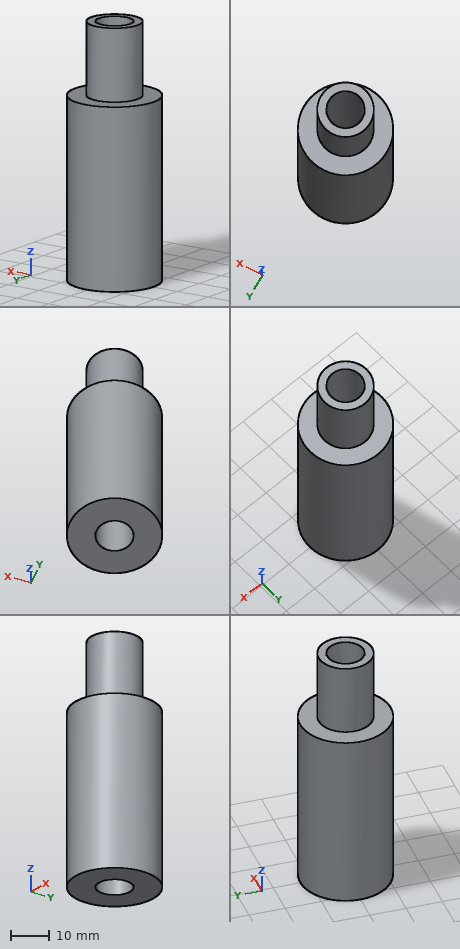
import cadquery as cq

body_diameter = 25.0
body_length = 50.0
neck_diameter = 14.8
neck_length = 20.0
bore_diameter = 10.0

total_length = body_length + neck_length


def cylinder(diameter, length):
    """Upright cylinder standing on the XY plane, centred on the Z axis."""
    return cq.Workplane("XY").circle(diameter / 2).extrude(length)


body = cylinder(body_diameter, body_length)
neck = cylinder(neck_diameter, total_length)

bore = cylinder(bore_diameter, total_length)

result = body.union(neck).cut(bore)